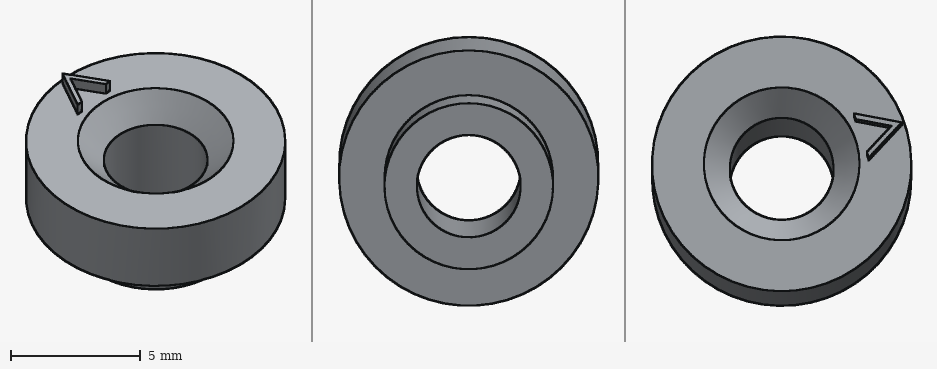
import cadquery as cq

flange_diameter = 10
flange_height = 3
spigot_diameter = 6.5
spigot_height = 1.8

bore_diameter = 4
countersink_diameter = 6
countersink_depth = (countersink_diameter - bore_diameter) / 2

pointer_height = 0.5
pointer_tip_x = -4.88
pointer_notch_x = -4.45
pointer_end_x = -3.23
pointer_half_width = 0.92

top_z = spigot_height + flange_height


def make_body():
    """Stepped round body standing on the XY plane."""
    spigot = cq.Workplane("XY").circle(spigot_diameter / 2).extrude(spigot_height)
    return spigot.faces(">Z").workplane().circle(flange_diameter / 2).extrude(flange_height)


def cut_bore(body):
    """Cut the through bore and its conical mouth."""
    bore = cq.Workplane("XY").circle(bore_diameter / 2).extrude(top_z)
    countersink = (
        cq.Workplane("XY", origin=(0, 0, top_z - countersink_depth))
        .circle(bore_diameter / 2)
        .workplane(offset=countersink_depth)
        .circle(countersink_diameter / 2)
        .loft()
    )
    return body.cut(bore).cut(countersink)


def make_pointer():
    """Two arms of equal thickness meeting at the tip."""
    slope = pointer_half_width / (pointer_end_x - pointer_tip_x)
    inner_half_width = slope * (pointer_end_x - pointer_notch_x)
    outline = [
        (pointer_tip_x, 0),
        (pointer_end_x, pointer_half_width),
        (pointer_end_x, inner_half_width),
        (pointer_notch_x, 0),
        (pointer_end_x, -inner_half_width),
        (pointer_end_x, -pointer_half_width),
    ]
    return cq.Workplane("XY", origin=(0, 0, top_z)).polyline(outline).close().extrude(pointer_height)


result = cut_bore(make_body()).union(make_pointer())